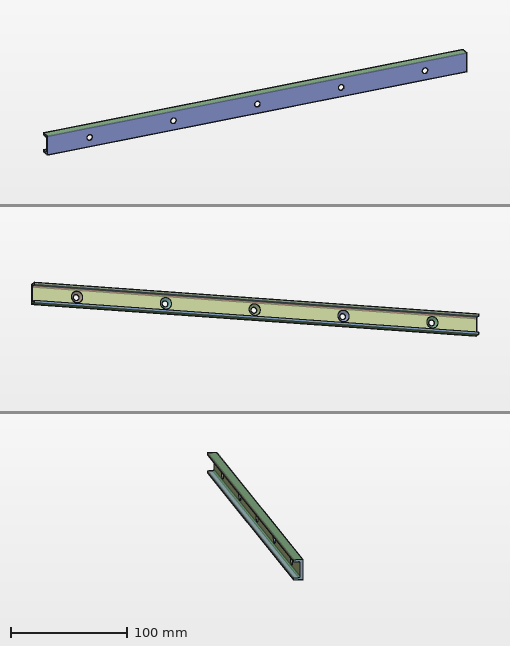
import cadquery as cq

depth = 8.25
length = 400.0
height = 18.0

web_thickness = 2.6
flange_thickness = 2.0
root_radius = 1.2
edge_radius = 0.3

hole_count = 5
hole_pitch = 80.0
hole_diameter = 5.0
countersink_diameter = 10.1
countersink_angle = 90.0

web_face_x = depth / 2 - web_thickness
opening_depth = depth - web_thickness
opening_height = height - 2 * flange_thickness


def channel():
    """C-shaped rail, open toward -X, centred on the origin."""
    block = cq.Workplane("XY").box(depth, length, height)
    rounded_back = block.edges("|Y and >X").fillet(edge_radius)
    opening = (
        cq.Workplane("XY", origin=(web_face_x - opening_depth / 2, 0, 0))
        .box(opening_depth, length, opening_height)
        .edges("|Y and >X")
        .fillet(root_radius)
    )
    return rounded_back.cut(opening).edges("|Y and <X").fillet(edge_radius)


def drill_web(rail):
    """Evenly spaced through holes, countersunk from inside the channel."""
    web_face = cq.Plane(origin=(web_face_x, 0, 0), xDir=(0, 1, 0), normal=(-1, 0, 0))
    first_y = -hole_pitch * (hole_count - 1) / 2
    centres = [(first_y + index * hole_pitch, 0) for index in range(hole_count)]
    return (
        rail.copyWorkplane(cq.Workplane(web_face))
        .pushPoints(centres)
        .cskHole(hole_diameter, countersink_diameter, countersink_angle, depth=web_thickness)
    )


result = drill_web(channel())